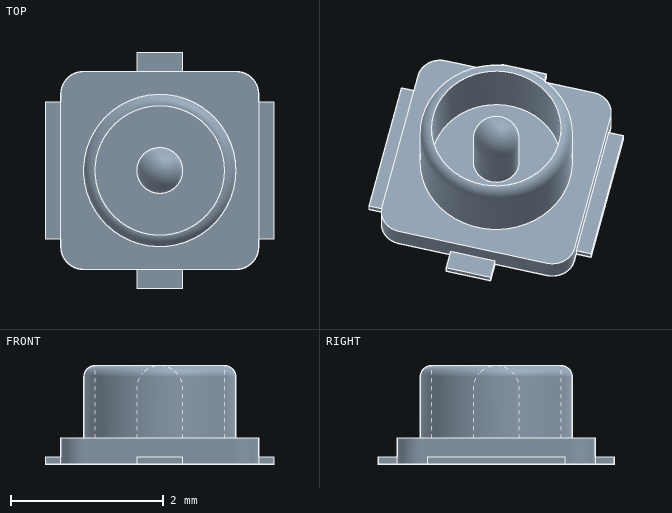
import cadquery as cq
import math

base_side = 2.6
base_height = 0.35
corner_radius = 0.3

span_x = 3.0
span_y = 3.1
tab_thickness = 0.1
side_tab_width = 1.8
end_tab_width = 0.6

total_height = 1.3
shell_diameter = 2.0
bore_diameter = 1.7

pin_diameter = 0.6
pin_height = total_height


def make_base():
    block = cq.Workplane("XY").box(base_side, base_side, base_height, centered=(True, True, False))
    return block.edges("|Z").fillet(corner_radius)


def make_tab_strip(length_x, length_y):
    """Flat strip through the base whose two ends stick out as tabs."""
    return cq.Workplane("XY").box(length_x, length_y, tab_thickness, centered=(True, True, False))


def make_shell():
    """Ring on the base; its top is a quarter round across the whole wall, ending at the bore."""
    outer_radius = shell_diameter / 2
    bore_radius = bore_diameter / 2
    rim_radius = outer_radius - bore_radius
    rim_start_height = total_height - rim_radius
    rim_diagonal = rim_radius * math.sqrt(0.5)
    profile = (
        cq.Workplane("XZ")
        .moveTo(bore_radius, base_height)
        .lineTo(outer_radius, base_height)
        .lineTo(outer_radius, rim_start_height)
        .threePointArc(
            (bore_radius + rim_diagonal, rim_start_height + rim_diagonal),
            (bore_radius, total_height),
        )
        .close()
    )
    return profile.revolve(360, (0, 0, 0), (0, 1, 0))


def make_pin():
    tip_radius = pin_diameter / 2
    tip_centre_height = pin_height - tip_radius
    shank = cq.Workplane("XY").circle(tip_radius).extrude(tip_centre_height)
    tip = cq.Workplane("XY").sphere(tip_radius).translate((0, 0, tip_centre_height))
    return shank.union(tip)


result = (
    make_base()
    .union(make_tab_strip(span_x, side_tab_width))
    .union(make_tab_strip(end_tab_width, span_y))
    .union(make_shell())
    .union(make_pin())
)